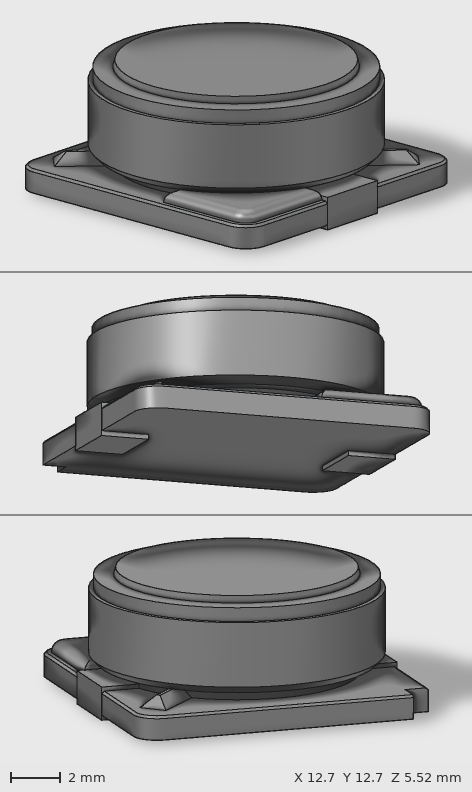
import cadquery as cq

BASE_SIDE = 12.65
BASE_BOTTOM = 0.2
BASE_TOP = 1.2
BASE_CORNER_RADIUS = 1.0
BASE_EDGE_CHAMFER = 0.1
NOTCH_SIDE = 1.0

TERMINAL_SPAN = 12.67
TERMINAL_WIDTH = 3.0
TERMINAL_LENGTH = 2.03
TERMINAL_TOP = 1.38

NECK_DIAMETER = 9.95
DRUM_DIAMETER = 12.0
DRUM_BOTTOM = 1.67
DRUM_CHAMFER = 0.3
DRUM_TOP = 4.66
RIM_DIAMETER = 11.6
RIM_TOP = 5.23
CAP_BOTTOM_DIAMETER = 9.97
CAP_TOP_DIAMETER = 9.81
TOTAL_HEIGHT = 5.52

SUPPORT_HEIGHT = DRUM_BOTTOM - BASE_TOP

PAD_MARGIN = 0.3
PAD_SIDE = 4.54
PAD_CORNER_RADIUS = BASE_CORNER_RADIUS - PAD_MARGIN
PAD_FOOT_HEIGHT = 0.01
PAD_TOP_FILLET = SUPPORT_HEIGHT - PAD_FOOT_HEIGHT

RIDGE_REACH = 7.37
RIDGE_OFFSET = 0.25
RIDGE_WIDTH = 1.17
RIDGE_ANGLES = (45.0, 225.0)
RIDGE_TAPER = 47.0

BLOCK_OUTER_X = -4.79
BLOCK_LENGTH = 2.53
BLOCK_START_Y = -1.7
BLOCK_END_Y = -4.43


def box_between(x0, x1, y0, y1, z0, z1):
    """Box given by its limits along each axis."""
    return cq.Workplane("XY").box(x1 - x0, y1 - y0, z1 - z0, centered=False).translate((x0, y0, z0))


def make_base():
    """Rounded, chamfered square plate with a notch in the (-X, +Y) corner."""
    half = BASE_SIDE / 2
    plate = box_between(-half, half, -half, half, BASE_BOTTOM, BASE_TOP)
    plate = plate.edges("|Z and (not (<X and >Y))").fillet(BASE_CORNER_RADIUS)
    plate = plate.faces(">Z").edges().chamfer(BASE_EDGE_CHAMFER)
    notch = box_between(-half, -half + NOTCH_SIDE, half - NOTCH_SIDE, half, 0, TERMINAL_TOP)
    return plate.cut(notch)


def make_terminal(side):
    """Terminal on the -X (side = -1) or +X (side = 1) edge."""
    center_x = side * (TERMINAL_SPAN - TERMINAL_LENGTH) / 2
    return (
        cq.Workplane("XY")
        .center(center_x, 0)
        .rect(TERMINAL_LENGTH, TERMINAL_WIDTH)
        .extrude(TERMINAL_TOP)
    )


def make_drum():
    """Neck, drum, rim and slightly conical cap as one turned body."""
    neck_radius = NECK_DIAMETER / 2
    drum_radius = DRUM_DIAMETER / 2
    rim_radius = RIM_DIAMETER / 2
    profile = [
        (0, BASE_BOTTOM),
        (neck_radius, BASE_BOTTOM),
        (neck_radius, DRUM_BOTTOM),
        (drum_radius - DRUM_CHAMFER, DRUM_BOTTOM),
        (drum_radius, DRUM_BOTTOM + DRUM_CHAMFER),
        (drum_radius, DRUM_TOP),
        (rim_radius, DRUM_TOP),
        (rim_radius, RIM_TOP),
        (CAP_BOTTOM_DIAMETER / 2, RIM_TOP),
        (CAP_TOP_DIAMETER / 2, TOTAL_HEIGHT),
        (0, TOTAL_HEIGHT),
    ]
    return cq.Workplane("XZ").polyline(profile).close().revolve(360, (0, 0), (0, 1))


def make_pad():
    """Square pad with a rounded outer corner and rounded top edges."""
    outer = BASE_SIDE / 2 - PAD_MARGIN
    inner = outer - PAD_SIDE
    pad = box_between(inner, outer, -outer, -inner, BASE_TOP, DRUM_BOTTOM)
    pad = pad.edges("|Z and >X and <Y").fillet(PAD_CORNER_RADIUS)
    return pad.faces(">Z").edges().fillet(PAD_TOP_FILLET)


def make_ridge(angle):
    """Ridge running outwards at an angle, with sides and end sloping in towards its crest."""
    return (
        cq.Workplane("XY", origin=(0, 0, BASE_TOP))
        .center(RIDGE_REACH / 2, -RIDGE_OFFSET)
        .rect(RIDGE_REACH, RIDGE_WIDTH)
        .extrude(SUPPORT_HEIGHT, taper=RIDGE_TAPER)
        .rotate((0, 0, 0), (0, 0, 1), angle)
    )


def make_block():
    """Block that closes the gap between the neck and the ridge, ending parallel to the ridge inside it."""
    inner_x = BLOCK_OUTER_X + BLOCK_LENGTH
    outline = [
        (BLOCK_OUTER_X, BLOCK_START_Y),
        (BLOCK_OUTER_X, BLOCK_END_Y),
        (inner_x, BLOCK_END_Y + BLOCK_LENGTH),
        (inner_x, BLOCK_START_Y),
    ]
    return cq.Workplane("XY", origin=(0, 0, BASE_TOP)).polyline(outline).close().extrude(SUPPORT_HEIGHT)


result = make_base().union(make_drum()).union(make_pad()).union(make_block())
for terminal_side in (-1, 1):
    result = result.union(make_terminal(terminal_side))
for ridge_angle in RIDGE_ANGLES:
    result = result.union(make_ridge(ridge_angle))